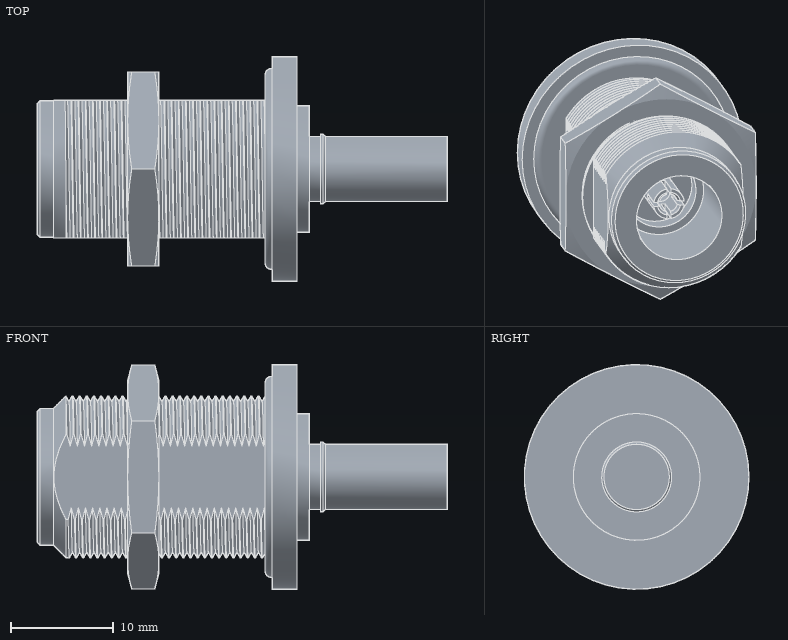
import cadquery as cq
import math


nose_radius = 6.7
nose_length = 1.6
nose_chamfer = 0.3
thread_radius = 15.875 / 2
flat_width = 13.5

thread_pitch = 0.7
thread_depth = 0.54
thread_half_angle = math.radians(30)
thread_cutter_overshoot = 0.04
thread_start = 2.945

nut_sides = 6
nut_across_flats = 19.0
nut_start = 8.87
nut_width = 3.05
nut_chamfer_angle = math.radians(15)
nut_bore_radius = thread_radius - 0.1
nut_seat_inset = 0.1

flange_radius = 11.0
flange_start = 23.0
flange_thickness = 2.45
shoulder_radius = 9.85
shoulder_height = 0.7
shoulder_fillet = 0.65
hub_radius = 6.2
hub_length = 1.2

tube_radius = 3.2
tube_end = 40.16
ridge_radius = 3.42
ridge_start = 27.73
ridge_width = 0.25
ridge_slope_length = 0.25

bore_radius = 4.27
bore_depth = 9.0
inner_bore_radius = 3.5
inner_bore_depth = 11.0

contact_radius = 1.52
contact_tip = 5.0
contact_mouth_radius = 1.15
contact_hole_radius = 0.9
contact_mouth_depth = 0.3
contact_hole_depth = 4.0
contact_slot_width = 0.42
contact_slot_depth = 3.0

nut_end = nut_start + nut_width
cone_end = nose_length + thread_radius - nose_radius
shoulder_start = flange_start - shoulder_height
flange_end = flange_start + flange_thickness
hub_end = flange_end + hub_length


def revolve_about_x(profile):
    """Turn a closed profile of (x, radius) about the X axis."""
    return profile.close().revolve(360, (0, 0, 0), (1, 0, 0))


def disc(start, end, radius):
    """Solid cylinder on the X axis."""
    return cq.Workplane("YZ", origin=(start, 0, 0)).circle(radius).extrude(end - start)


def make_barrel():
    """Nose, 45 degree cone and the plain cylinder that carries the thread."""
    profile = cq.Workplane("XZ").polyline([
        (0, 0),
        (0, nose_radius - nose_chamfer),
        (nose_chamfer, nose_radius),
        (nose_length, nose_radius),
        (cone_end, thread_radius),
        (flange_start, thread_radius),
        (flange_start, 0),
    ])
    return revolve_about_x(profile)


def make_thread_cutter():
    """Right-hand helical V groove, starting at +Y and running into the shoulder."""
    root_radius = thread_radius - thread_depth
    mouth_radius = thread_radius + thread_cutter_overshoot
    half_mouth = (mouth_radius - root_radius) * math.tan(thread_half_angle)
    helix_length = shoulder_start + shoulder_height / 2 - thread_start
    helix = cq.Wire.makeHelix(
        thread_pitch,
        helix_length,
        root_radius,
        center=cq.Vector(thread_start, 0, 0),
        dir=cq.Vector(1, 0, 0),
    )
    groove = cq.Workplane("XZ").polyline([
        (thread_start, root_radius),
        (thread_start - half_mouth, mouth_radius),
        (thread_start + half_mouth, mouth_radius),
    ]).close()
    cutter = groove.sweep(cq.Workplane(obj=helix), isFrenet=True)
    return cutter.rotate((0, 0, 0), (1, 0, 0), -90)


def make_flat_limits():
    """Slab that trims the barrel to flats facing -Y and +Y, left full round inside the nut."""
    slab = cq.Workplane("XY").box(
        flange_start, flat_width, 2 * flange_radius, centered=(False, True, True)
    )
    return slab.union(disc(nut_start + nut_seat_inset, nut_end - nut_seat_inset, flange_radius))


def make_nut():
    """Hexagon with corners on +Z and -Z, both faces chamfered."""
    corner_radius = nut_across_flats / 2 / math.cos(math.pi / nut_sides)
    face_radius = nut_across_flats / 2
    chamfer_drop = (corner_radius - face_radius) * math.tan(nut_chamfer_angle)
    hexagon = (
        cq.Workplane("YZ", origin=(nut_start, 0, 0))
        .transformed(rotate=(0, 0, 90))
        .polygon(nut_sides, 2 * corner_radius)
        .extrude(nut_width)
    )
    chamfer_limits = revolve_about_x(cq.Workplane("XZ").polyline([
        (nut_start, 0),
        (nut_start, face_radius),
        (nut_start + chamfer_drop, corner_radius),
        (nut_end - chamfer_drop, corner_radius),
        (nut_end, face_radius),
        (nut_end, 0),
    ]))
    return hexagon.intersect(chamfer_limits).cut(disc(nut_start, nut_end, nut_bore_radius))


def make_flange():
    """Rounded shoulder, flange plate and rear hub."""
    shoulder = disc(shoulder_start, flange_start, shoulder_radius)
    shoulder = shoulder.faces("<X").edges().fillet(shoulder_fillet)
    return (
        shoulder
        .union(disc(flange_start, flange_end, flange_radius))
        .union(disc(flange_end, hub_end, hub_radius))
    )


def make_tube():
    """Cable tube with a ridge that slopes back down on its rear side."""
    ridge_end = ridge_start + ridge_width
    profile = cq.Workplane("XZ").polyline([
        (hub_end, 0),
        (hub_end, tube_radius),
        (ridge_start, tube_radius),
        (ridge_start, ridge_radius),
        (ridge_end, ridge_radius),
        (ridge_end + ridge_slope_length, tube_radius),
        (tube_end, tube_radius),
        (tube_end, 0),
    ])
    return revolve_about_x(profile)


def make_socket():
    """Stepped bore that opens at the mating face."""
    return disc(0, bore_depth, bore_radius).union(disc(bore_depth, inner_bore_depth, inner_bore_radius))


def make_contact():
    """Slotted contact with a flared hole that ends in a 90 degree point."""
    hole_end = contact_tip + contact_hole_depth
    hole = revolve_about_x(cq.Workplane("XZ").polyline([
        (contact_tip, 0),
        (contact_tip, contact_mouth_radius),
        (contact_tip + contact_mouth_depth, contact_hole_radius),
        (hole_end, contact_hole_radius),
        (hole_end + contact_hole_radius, 0),
    ]))
    contact = disc(contact_tip, inner_bore_depth, contact_radius).cut(hole)
    slot = cq.Workplane("XY", origin=(contact_tip, 0, 0)).box(
        contact_slot_depth, contact_slot_width, 2 * contact_radius, centered=(False, True, True)
    )
    for angle in (0, 90):
        contact = contact.cut(slot.rotate((0, 0, 0), (1, 0, 0), angle))
    return contact


barrel = make_barrel().cut(make_thread_cutter()).intersect(make_flat_limits())
body = barrel.union(make_nut()).union(make_flange()).union(make_tube())
result = body.cut(make_socket()).union(make_contact())